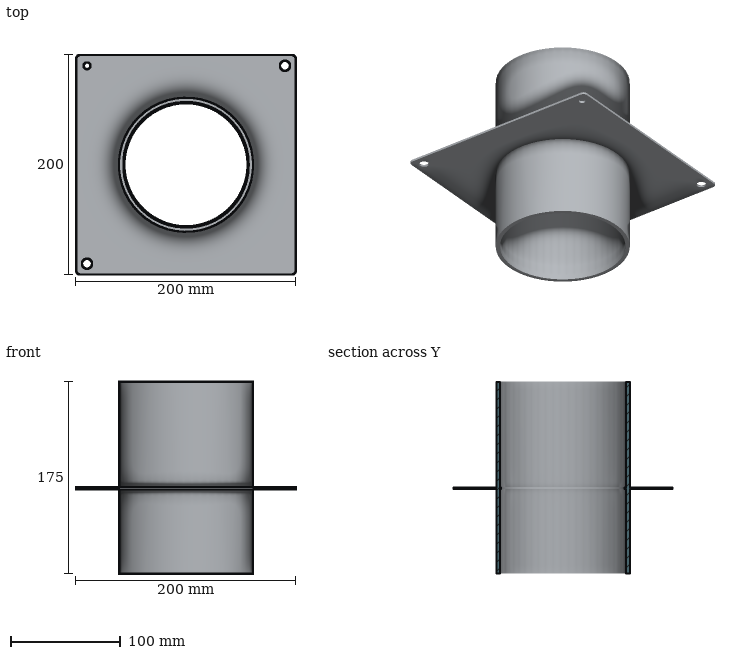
import cadquery as cq

plate_side = 200.0
plate_thickness = 2.0
corner_radius = 4.0
plate_opening_diameter = 112.0

tube_outer_diameter = 122.0
tube_bore_diameter = 114.3
total_height = 175.0
upper_tube_length = 96.0
lower_tube_length = total_height - plate_thickness - upper_tube_length

hole_inset = 10.0
hole_offset = plate_side / 2 - hole_inset
small_hole_diameter = 6.0
large_hole_diameter = 9.0
small_hole_places = [(-hole_offset, hole_offset)]
large_hole_places = [(hole_offset, hole_offset), (-hole_offset, -hole_offset)]


def make_plate():
    """Rounded square plate with a central opening and three corner holes."""
    plate = cq.Workplane("XY").rect(plate_side, plate_side).extrude(plate_thickness)
    plate = plate.edges("|Z").fillet(corner_radius)
    plate = plate.faces(">Z").workplane().hole(plate_opening_diameter)
    plate = plate.faces(">Z").workplane().pushPoints(small_hole_places).hole(small_hole_diameter)
    return plate.faces(">Z").workplane().pushPoints(large_hole_places).hole(large_hole_diameter)


def make_tube(base_height, length):
    """Tube stub rising from base_height along Z."""
    return (
        cq.Workplane("XY")
        .workplane(offset=base_height)
        .circle(tube_outer_diameter / 2)
        .circle(tube_bore_diameter / 2)
        .extrude(length)
    )


upper_tube = make_tube(plate_thickness, upper_tube_length)
lower_tube = make_tube(-lower_tube_length, lower_tube_length)
result = make_plate().union(upper_tube).union(lower_tube)